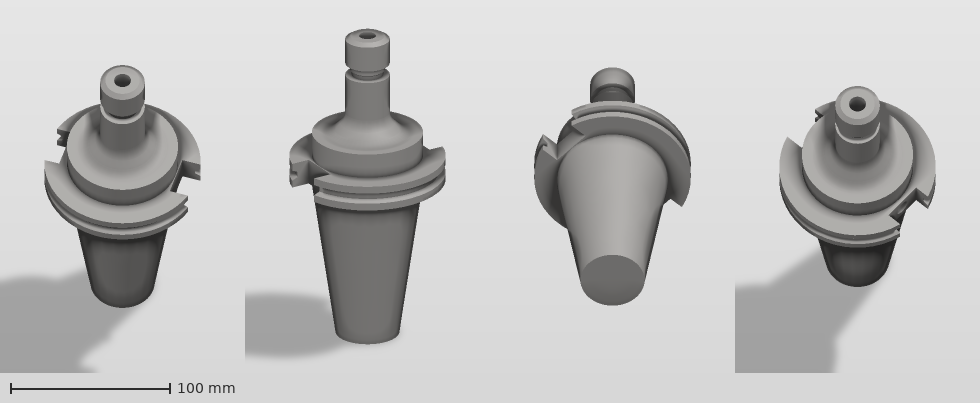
import cadquery as cq
import math

total_height = 203.2

gauge_radius = 35.0
taper_length = 101.5
taper_slope = 7 / 48
flange_radius = 49.2
flange_bottom = 104.9
flange_top = 121.1
flange_middle = (flange_bottom + flange_top) / 2

groove_floor_radius = 45.5
groove_floor_width = 3.7
groove_mouth_width = 7.0

collar_top = 137.0
stem_radius = 14.0
flare_outer_radius = 28.0
flare_blend_radius = 10.0
flare_angle = math.radians(45)

stem_top = 176.8
lower_neck_radius = 10.0
upper_neck_radius = 11.0
neck_step = 180.2
neck_step_height = 0.8
head_bottom = 184.7
head_chamfer_height = 2.0
head_face_radius = 10.8
bore_radius = 5.3
bore_depth = 30.5

slot_width = 26.2
left_slot_floor = 37.5
right_slot_floor = 35.4
slot_hole_radius = 4.9
slot_hole_depth = 5.3


def arc_point(center, radius, angle):
    return (center[0] + radius * math.cos(angle), center[1] + radius * math.sin(angle))


def revolved_body():
    """Revolve the half-section; each point is (radius, height)."""
    blend_drop = flare_blend_radius * math.sin(flare_angle)
    blend_inset = flare_blend_radius * (1 - math.cos(flare_angle))

    lower_center = (flare_outer_radius, collar_top + flare_blend_radius)
    lower_middle = arc_point(lower_center, flare_blend_radius, -math.pi / 2 - flare_angle / 2)
    lower_end = (flare_outer_radius - blend_drop, collar_top + blend_inset)
    upper_start_radius = stem_radius + blend_inset
    upper_start = (upper_start_radius, lower_end[1] + lower_end[0] - upper_start_radius)
    upper_end = (stem_radius, upper_start[1] + blend_drop)
    upper_center = (stem_radius + flare_blend_radius, upper_end[1])
    upper_middle = arc_point(upper_center, flare_blend_radius, math.pi + flare_angle / 2)

    profile = (
        cq.Workplane("XZ")
        .moveTo(0, 0)
        .lineTo(gauge_radius - taper_length * taper_slope, 0)
        .lineTo(gauge_radius, taper_length)
        .lineTo(gauge_radius, flange_bottom)
        .lineTo(flange_radius, flange_bottom)
        .lineTo(flange_radius, flange_middle - groove_mouth_width / 2)
        .lineTo(groove_floor_radius, flange_middle - groove_floor_width / 2)
        .lineTo(groove_floor_radius, flange_middle + groove_floor_width / 2)
        .lineTo(flange_radius, flange_middle + groove_mouth_width / 2)
        .lineTo(flange_radius, flange_top)
        .lineTo(gauge_radius, flange_top)
        .lineTo(gauge_radius, collar_top)
        .lineTo(flare_outer_radius, collar_top)
        .threePointArc(lower_middle, lower_end)
        .lineTo(*upper_start)
        .threePointArc(upper_middle, upper_end)
        .lineTo(stem_radius, stem_top)
        .lineTo(lower_neck_radius, stem_top)
        .lineTo(lower_neck_radius, neck_step - neck_step_height)
        .lineTo(upper_neck_radius, neck_step)
        .lineTo(upper_neck_radius, head_bottom)
        .lineTo(stem_radius, head_bottom)
        .lineTo(stem_radius, total_height - head_chamfer_height)
        .lineTo(head_face_radius, total_height)
        .lineTo(0, total_height)
        .close()
    )
    return profile.revolve(360, (0, 0), (0, 1))


def drive_slot(side, floor):
    """Cutter for a slot through the flange on the given side of X (-1 or +1)."""
    depth = flange_radius - floor
    return cq.Workplane("XY").box(depth, slot_width, flange_top - flange_bottom).translate(
        (side * (floor + depth / 2), 0, flange_middle)
    )


def slot_hole():
    """Cutter for the blind hole in the floor of the -X slot."""
    return (
        cq.Workplane("YZ", origin=(-left_slot_floor, 0, flange_middle))
        .circle(slot_hole_radius)
        .extrude(slot_hole_depth)
    )


def head_bore():
    """Cutter for the blind axial bore in the head."""
    return (
        cq.Workplane("XY", origin=(0, 0, total_height))
        .circle(bore_radius)
        .extrude(-bore_depth)
    )


result = (
    revolved_body()
    .cut(drive_slot(-1, left_slot_floor))
    .cut(drive_slot(1, right_slot_floor))
    .cut(slot_hole())
    .cut(head_bore())
)